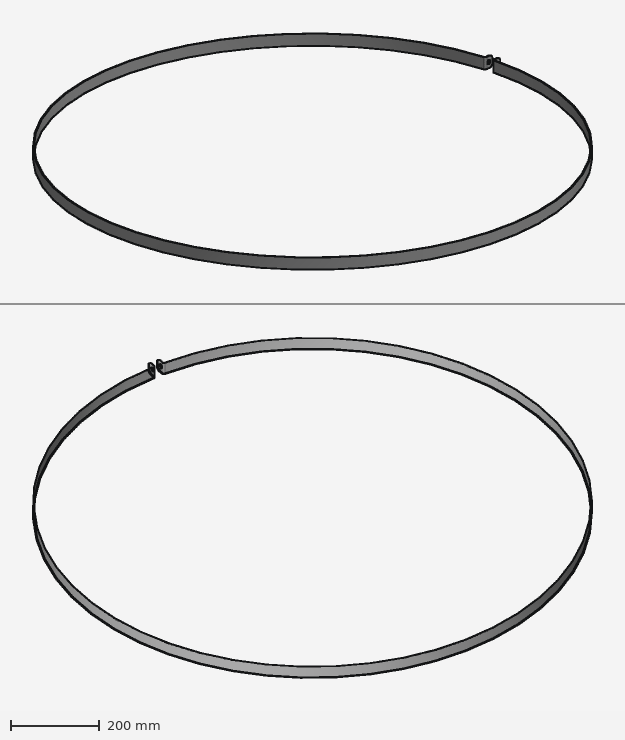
import cadquery as cq
import math

outer_diameter = 1263.0
thickness = 3.0
height = 30.0
ear_gap = 20.0
overall_length_y = 1286.23
bolt_hole_diameter = 10.5
bolt_hole_from_tip = 13.0
bend_inside_radius = 3.0
ear_corner_radius = 10.0

outer_radius = outer_diameter / 2
inner_radius = outer_radius - thickness
ear_tip_y = overall_length_y - outer_radius
ear_inner_x = ear_gap / 2
ear_outer_x = ear_inner_x + thickness
bend_outside_radius = bend_inside_radius + thickness
ear_root_inner_y = math.sqrt(inner_radius**2 - ear_inner_x**2)
ear_root_outer_y = math.sqrt(outer_radius**2 - ear_outer_x**2)

selection_margin = 0.1


def make_band_with_ears():
    """Open ring whose two ends turn outward into flat parallel ears."""
    return (
        cq.Workplane("XY")
        .workplane(offset=-height / 2)
        .moveTo(ear_inner_x, ear_tip_y)
        .lineTo(ear_inner_x, ear_root_inner_y)
        .threePointArc((0, -inner_radius), (-ear_inner_x, ear_root_inner_y))
        .lineTo(-ear_inner_x, ear_tip_y)
        .lineTo(-ear_outer_x, ear_tip_y)
        .lineTo(-ear_outer_x, ear_root_outer_y)
        .threePointArc((0, -outer_radius), (ear_outer_x, ear_root_outer_y))
        .lineTo(ear_outer_x, ear_tip_y)
        .close()
        .extrude(height)
    )


def bend_edges(corner_x, corner_y):
    """Select the pair of mirrored vertical edges at (+/-corner_x, corner_y)."""
    reach_x = corner_x + selection_margin
    return cq.selectors.BoxSelector(
        (-reach_x, corner_y - selection_margin, -selection_margin),
        (reach_x, corner_y + selection_margin, selection_margin),
    )


def round_bends(band):
    """Give each bend between ring and ear concentric inside and outside radii."""
    band = band.edges(bend_edges(ear_outer_x, ear_root_outer_y)).fillet(bend_inside_radius)
    return band.edges(bend_edges(ear_inner_x, ear_root_inner_y)).fillet(bend_outside_radius)


def round_ear_tips(band):
    """Round the upper and lower corners at the tip of each ear."""
    return band.faces(">Y").edges("|X").fillet(ear_corner_radius)


def make_bolt_hole_cutter():
    """Cylinder along X that pierces both ears at mid height."""
    return (
        cq.Workplane("YZ")
        .center(ear_tip_y - bolt_hole_from_tip, 0)
        .circle(bolt_hole_diameter / 2)
        .extrude(ear_outer_x, both=True)
    )


band = round_ear_tips(round_bends(make_band_with_ears()))
result = band.cut(make_bolt_hole_cutter())